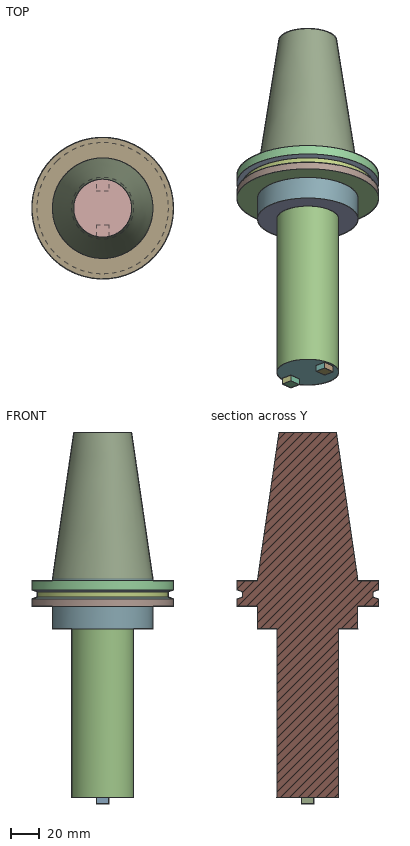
import cadquery as cq

total_height = 258.0
key_height = 4.5
boss_bottom = 121.5
flange_bottom = 137.2
flange_top = 155.0
taper_bottom = 156.3

shank_diameter = 43.0
boss_diameter = 70.0
flange_diameter = 98.5
groove_diameter = 91.3
taper_ratio = 7 / 24

groove_mouth_bottom = 142.5
groove_floor_bottom = 143.7
groove_floor_top = 147.3
groove_mouth_top = 148.5

key_width = 8.8
key_length = 8.0
key_outer_reach = 19.9

shank_radius = shank_diameter / 2
boss_radius = boss_diameter / 2
flange_radius = flange_diameter / 2
groove_radius = groove_diameter / 2
taper_top_radius = boss_radius - taper_ratio * (total_height - taper_bottom) / 2


def make_body():
    """Revolve the half-section of the shank, boss, grooved flange and taper."""
    half_section = [
        (0, key_height),
        (shank_radius, key_height),
        (shank_radius, boss_bottom),
        (boss_radius, boss_bottom),
        (boss_radius, flange_bottom),
        (flange_radius, flange_bottom),
        (flange_radius, groove_mouth_bottom),
        (groove_radius, groove_floor_bottom),
        (groove_radius, groove_floor_top),
        (flange_radius, groove_mouth_top),
        (flange_radius, flange_top),
        (boss_radius, flange_top),
        (boss_radius, taper_bottom),
        (taper_top_radius, total_height),
        (0, total_height),
    ]
    return cq.Workplane("XZ").polyline(half_section).close().revolve(360, (0, 0), (0, 1))


def make_drive_keys():
    """Two rectangular keys on opposite sides of the axis along Y."""
    key_center = key_outer_reach - key_length / 2
    return (
        cq.Workplane("XY")
        .pushPoints([(0, -key_center), (0, key_center)])
        .rect(key_width, key_length)
        .extrude(key_height)
    )


result = make_body().union(make_drive_keys())